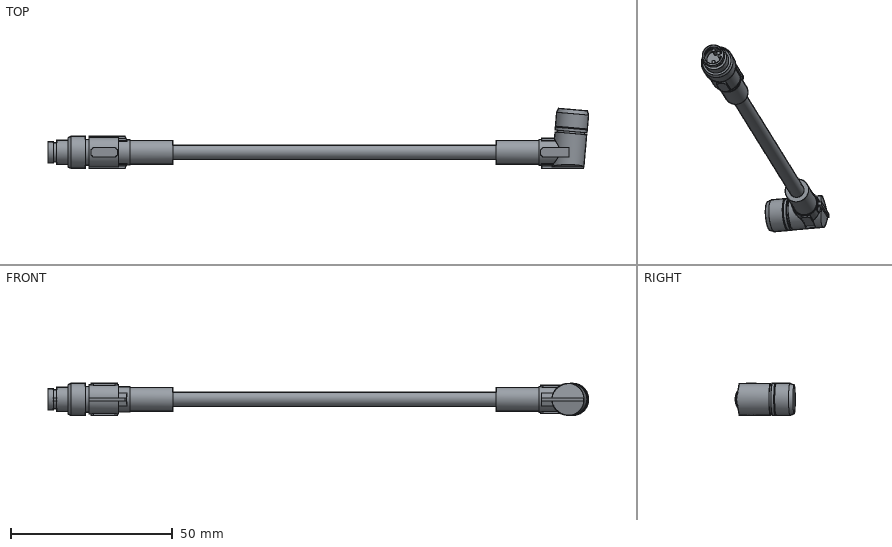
import cadquery as cq

max_radius = 5.0
cable_radius = 2.25
cable_start = 38.7
cable_length = 100.0
elbow_sleeve_start = cable_start + cable_length

sleeve_radius = 3.7
neck_radius = 3.95

tip_radius = 3.35
tip_groove_start = 1.7
tip_groove_end = 2.7
tip_groove_radius = 3.0
barrel_radius = 3.8
nut_start = 6.2
nut_front_radius = 4.5
nut_bevel_end = 7.1
nut_end = 11.6
nut_groove_radius = 4.0
plug_body_start = 12.7
plug_body_end = 21.9
plug_body_radius = 4.6
plug_neck_end = 25.4

recess_radius = 2.75
recess_depth = 4.5
pin_radius = 0.5
pin_offset = 1.9
pin_setback = 1.0
key_width = 1.0
key_inner_offset = 2.2

pad_width = 3.0
pad_taper = 0.8
plug_pad_start = 13.3
plug_pad_end = 21.6
ridge_half_width = 2.0
ridge_base = 3.7
ridge_apex = 4.4
plug_ridge_end = 24.5
ridge_taper_length = 0.6
crest_width = 1.0

column_x = 161.31
column_tilt = -5.0
column_radius = 4.95
column_base = -6.0
column_shoulder = 5.9
coupling_groove_radius = 4.3
coupling_start = 6.5
coupling_rim_end = 7.4
coupling_rim_groove_end = 7.7
coupling_rim_groove_depth = 0.15
coupling_end = 13.31
coupling_bevel_radial = 0.5
coupling_bevel_length = 1.3
elbow_neck_start = 151.9
elbow_body_start = 152.4
elbow_ridge_start = 152.8
elbow_body_radius = 4.0
elbow_pad_height = 4.4
cap_ridge_depth = 4.6
cap_crest_end = 165.8
cap_edge_depth = 3.75


def cylinder_x(start, end, radius):
    """Cylinder on the cable axis between two X stations."""
    return cq.Workplane("YZ").workplane(offset=start).circle(radius).extrude(end - start)


def box(x_range, y_range, z_range):
    """Axis-aligned box from its limits."""
    size = [high - low for low, high in (x_range, y_range, z_range)]
    return cq.Workplane("XY").box(*size, centered=False).translate((x_range[0], y_range[0], z_range[0]))


def grip_pad(start, end, height, taper):
    """Flat-topped pad through +Z and -Z, with both end corners cut back."""
    half = pad_width / 2
    corner = half - taper
    outline = [
        (start, -corner),
        (start + taper, -half),
        (end - taper, -half),
        (end, -corner),
        (end, corner),
        (end - taper, half),
        (start + taper, half),
        (start, corner),
    ]
    return cq.Workplane("XY").polyline(outline).close().extrude(height, both=True)


def side_ridges(start, end):
    """V-shaped ridges on +Y and -Y between two X stations."""
    section = [
        (ridge_base, -ridge_half_width),
        (ridge_apex, 0),
        (ridge_base, ridge_half_width),
        (-ridge_base, ridge_half_width),
        (-ridge_apex, 0),
        (-ridge_base, -ridge_half_width),
    ]
    return cq.Workplane("YZ").workplane(offset=start).polyline(section).close().extrude(end - start)


def plug_ridges():
    """Side ridges with a narrow crest on each, sloping into the neck at the rear."""
    slope_start = plug_ridge_end - ridge_taper_length
    outline = [
        (plug_body_start, -max_radius),
        (slope_start, -max_radius),
        (plug_ridge_end, -ridge_base),
        (plug_ridge_end, ridge_base),
        (slope_start, max_radius),
        (plug_body_start, max_radius),
    ]
    crests = cq.Workplane("XY").polyline(outline).close().extrude(crest_width / 2, both=True)
    ridges = side_ridges(plug_body_start, plug_ridge_end)
    envelope = cq.Workplane("XY").polyline(outline).close().extrude(max_radius, both=True)
    return ridges.intersect(envelope).union(crests)


def turned_plug():
    """Stepped plug, from the tip to the end of its sleeve."""
    profile = [
        (0, 0),
        (0, tip_radius),
        (tip_groove_start, tip_radius),
        (tip_groove_start, tip_groove_radius),
        (tip_groove_end, tip_groove_radius),
        (tip_groove_end, barrel_radius),
        (nut_start, barrel_radius),
        (nut_start, nut_front_radius),
        (nut_bevel_end, max_radius),
        (nut_end, max_radius),
        (nut_end, nut_groove_radius),
        (plug_body_start, nut_groove_radius),
        (plug_body_start, plug_body_radius),
        (plug_body_end, plug_body_radius),
        (plug_body_end, neck_radius),
        (plug_neck_end, neck_radius),
        (plug_neck_end, sleeve_radius),
        (cable_start, sleeve_radius),
        (cable_start, 0),
    ]
    return cq.Workplane("XY").polyline(profile).close().revolve(360, (0, 0, 0), (1, 0, 0))


def plug_contacts():
    """Three pins and a polarising key standing in the tip recess."""
    pin_centres = [(0, pin_offset), (0, -pin_offset), (-pin_offset, 0)]
    pin_length = recess_depth - pin_setback
    pin_plane = cq.Workplane("YZ").workplane(offset=pin_setback)
    contacts = pin_plane.pushPoints(pin_centres).circle(pin_radius).extrude(pin_length)
    key = box(
        (0, recess_depth),
        (-tip_groove_radius, -key_inner_offset),
        (-key_width / 2, key_width / 2),
    )
    return contacts.union(key)


def straight_plug():
    plug = turned_plug()
    plug = plug.union(grip_pad(plug_pad_start, plug_pad_end, max_radius, pad_taper))
    plug = plug.union(plug_ridges())
    plug = plug.cut(cylinder_x(0, recess_depth, recess_radius))
    return plug.union(plug_contacts())


def elbow_column():
    """Column and coupling nut, turned about Y, then tilted; V-shaped cap at -Y."""
    rim_groove_radius = max_radius - coupling_rim_groove_depth
    profile = [
        (0, column_base),
        (column_radius, column_base),
        (column_radius, column_shoulder),
        (coupling_groove_radius, column_shoulder),
        (coupling_groove_radius, coupling_start),
        (max_radius, coupling_start),
        (max_radius, coupling_rim_end),
        (rim_groove_radius, coupling_rim_end),
        (rim_groove_radius, coupling_rim_groove_end),
        (max_radius, coupling_rim_groove_end),
        (max_radius, coupling_end - coupling_bevel_length),
        (max_radius - coupling_bevel_radial, coupling_end),
        (0, coupling_end),
    ]
    column = cq.Workplane("XY").polyline(profile).close().revolve(360, (0, 0, 0), (0, 1, 0))
    column = column.rotate((0, 0, 0), (0, 0, 1), column_tilt).translate((column_x, 0, 0))
    far_y = 2 * coupling_end
    cap_section = [
        (-cap_edge_depth, -max_radius),
        (-cap_ridge_depth, 0),
        (-cap_edge_depth, max_radius),
        (far_y, max_radius),
        (far_y, -max_radius),
    ]
    cap_limit = cq.Workplane("YZ").workplane(offset=column_x - 2 * max_radius).polyline(cap_section).close()
    return column.intersect(cap_limit.extrude(4 * max_radius))


def angled_connector():
    column = elbow_column()
    pad_slot_top = box(
        (elbow_body_start, column_x), (-pad_width / 2, pad_width / 2), (elbow_pad_height, max_radius)
    )
    column = column.cut(pad_slot_top).cut(pad_slot_top.mirror("XY"))

    connector = cylinder_x(elbow_sleeve_start, elbow_neck_start, sleeve_radius)
    connector = connector.union(cylinder_x(elbow_neck_start, column_x, elbow_body_radius))
    connector = connector.union(grip_pad(elbow_body_start, column_x, elbow_pad_height, pad_taper))
    connector = connector.union(side_ridges(elbow_ridge_start, column_x))
    crest = box((elbow_ridge_start, cap_crest_end), (-max_radius, 0), (-crest_width / 2, crest_width / 2))
    return connector.union(column).union(crest)


cable = cylinder_x(cable_start, elbow_sleeve_start, cable_radius)
result = straight_plug().union(cable).union(angled_connector())